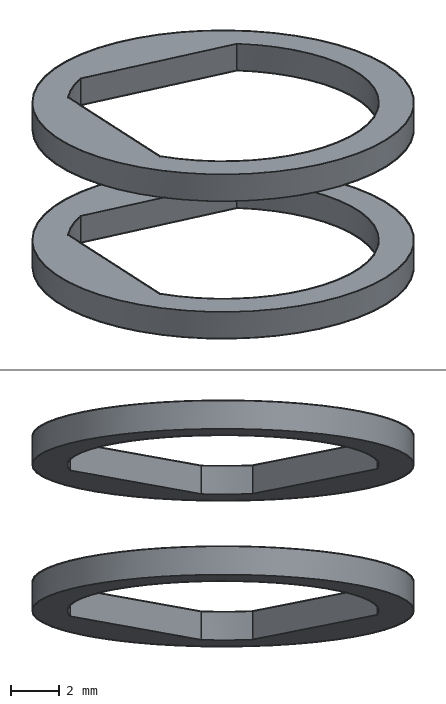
import cadquery as cq

outer_diameter = 15.8
bore_diameter = 12.9
flat_distance = 5.25
ring_thickness = 1.2
overall_height = 7.35

ring_count = 2
ring_pitch = (overall_height - ring_thickness) / (ring_count - 1)


def make_bore():
    """Round bore cut short by one flat on the -X side and one on the -Y side."""
    bore_radius = bore_diameter / 2
    bore = cq.Workplane("XY").circle(bore_radius).extrude(ring_thickness)
    flat_limits = (
        cq.Workplane("XY")
        .rect(flat_distance + bore_radius, flat_distance + bore_radius, centered=False)
        .extrude(ring_thickness)
        .translate((-flat_distance, -flat_distance, 0))
    )
    return bore.intersect(flat_limits)


def make_ring(base_height):
    """Flat ring with its lower face at the given height."""
    disc = cq.Workplane("XY").circle(outer_diameter / 2).extrude(ring_thickness)
    return disc.cut(make_bore()).translate((0, 0, base_height))


rings = [make_ring(index * ring_pitch) for index in range(ring_count)]

result = cq.Compound.makeCompound([ring.val() for ring in rings])